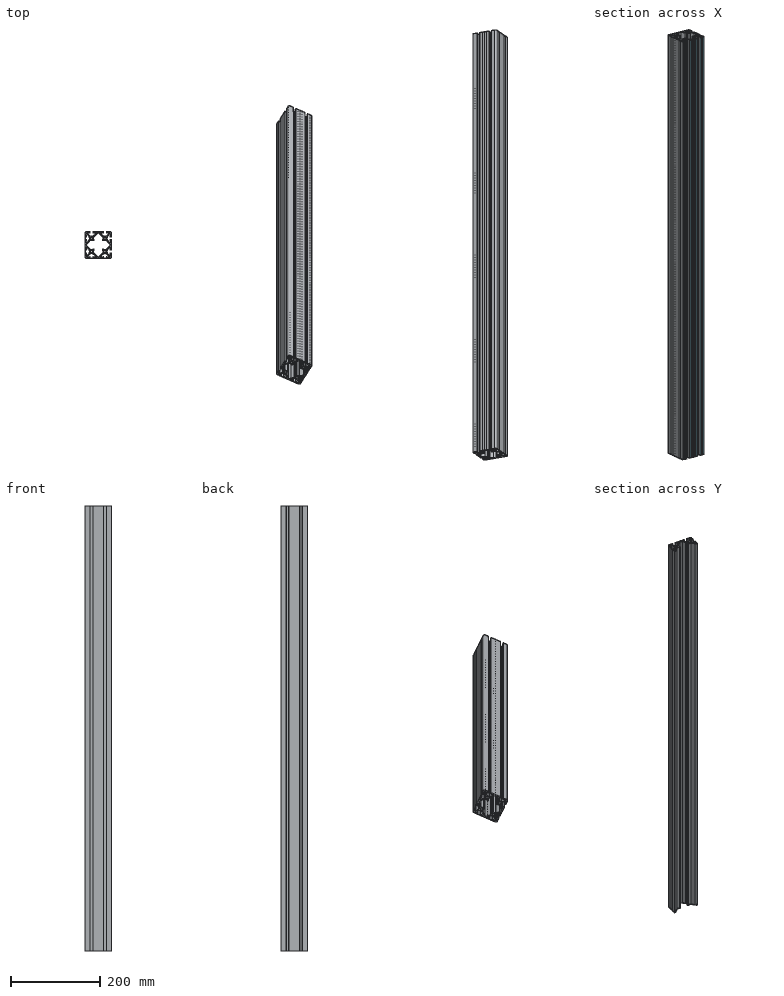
import cadquery as cq

length = 1000.0
width = 60.0
corner_radius = 3.5

slot_pitch = 30.0
slot_opening = 6.5
slot_depth = 9.5
lip_thickness = 3.5
lip_taper = 0.8
undercut_width = 20.0
undercut_wall = 1.5
floor_width = 7.0
floor_groove_width = 4.5
floor_groove_depth = 0.8
cover_thickness = 1.0

core_width = 11.0
core_groove_width = 6.0
core_groove_depth = 0.8
bore_diameter = 5.0

tip_wall = 2.5
shoulder_offset = 3.5

half_width = width / 2
core_offset = slot_pitch / 2
cavity_half_width = core_offset - core_width / 2
arm_shoulder = core_offset + shoulder_offset
arm_tip = half_width - tip_wall


def mirrored(right_half):
    """Complete an outline that is symmetric about the Y axis."""
    return right_half + [(-x, y) for x, y in reversed(right_half)]


def quarter_turned(points):
    return [(-y, x) for x, y in points]


def slot_outline(mouth_y):
    """T-slot below the +Y side, centred on X = 0, with its mouth ending at mouth_y."""
    lip_y = half_width - lip_thickness
    floor_y = half_width - slot_depth
    undercut_top = lip_y + lip_taper
    return mirrored([
        (slot_opening / 2, mouth_y),
        (slot_opening / 2, lip_y),
        (undercut_width / 2, undercut_top),
        (undercut_width / 2, undercut_top - undercut_wall),
        (floor_width / 2, floor_y),
        (floor_groove_width / 2, floor_y),
        (floor_groove_width / 2, floor_y - floor_groove_depth),
    ])


def slot_pair(mouth_y, angle):
    """The two slots of one side, turned from +Y by angle about Z."""
    slots = cq.Workplane("XY")
    for offset in (-core_offset, core_offset):
        slots = slots.polyline([(x + offset, y) for x, y in slot_outline(mouth_y)]).close()
    return slots.extrude(length).rotate((0, 0, 0), (0, 0, 1), angle)


def central_cavity():
    """Four pointed arms between the cores, with a shallow groove in each core face."""
    groove_near = core_offset - core_groove_width / 2
    groove_far = core_offset + core_groove_width / 2
    groove_floor = cavity_half_width + core_groove_depth
    arm_edge = [
        (arm_tip, 0),
        (arm_shoulder, cavity_half_width),
        (groove_far, cavity_half_width),
        (groove_far, groove_floor),
        (groove_near, groove_floor),
        (groove_near, cavity_half_width),
    ]
    core_corner = (cavity_half_width, cavity_half_width)
    quarter = arm_edge + [core_corner] + [(y, x) for x, y in reversed(arm_edge[1:])]
    outline = []
    for _ in range(4):
        outline += quarter
        quarter = quarter_turned(quarter)
    return cq.Workplane("XY").polyline(outline).close().extrude(length)


def core_bores():
    return (
        cq.Workplane("XY")
        .rect(slot_pitch, slot_pitch, forConstruction=True)
        .vertices()
        .circle(bore_diameter / 2)
        .extrude(length)
    )


bar = cq.Workplane("XY").rect(width, width).extrude(length).edges("|Z").fillet(corner_radius)
bar = bar.cut(central_cavity()).cut(core_bores())

for angle in (0, -90):
    bar = bar.cut(slot_pair(half_width, angle))

for angle in (90, 180):
    bar = bar.cut(slot_pair(half_width - cover_thickness, angle))

result = bar